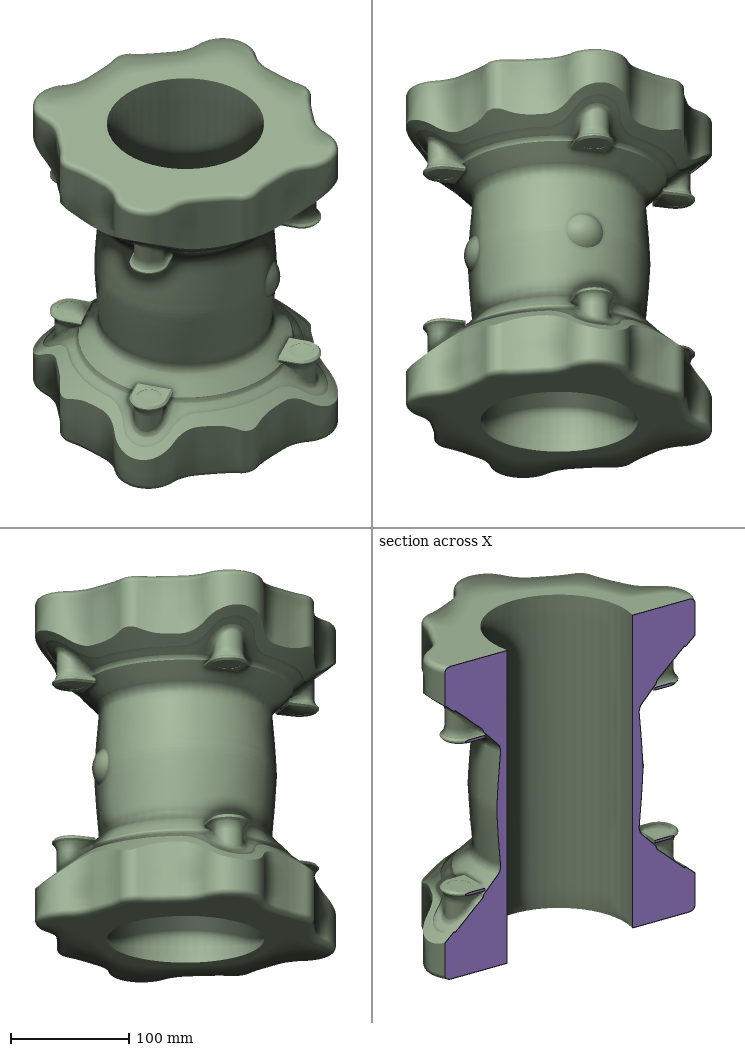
import cadquery as cq
import math

height = 289.0
mid_height = height / 2
bore_radius = 66.5

tip_reach = 133.8
tip_radius = 29.0
tip_center = tip_reach - tip_radius
corner_radius = 16.8
corner_center = 101.0
corner_angle = math.radians(45)
flat_distance = 109.5
flat_angle = math.radians(25.5)
tip_valley_radius = 34.7
corner_valley_radius = 89.5
flange_edge_fillet = 5.2

rim_height = 31.8
envelope_radius = tip_reach + 3
back_angle = math.radians(40.5)
core_radius = 90.5
core_top = 69.6

neck_cone_end = (76.0, 84.5)
neck_arc_mid = (74.0, 88.0)
barrel_start = (73.5, 92.0)
band_radius = 77.2
band_half_height = 1.7
barrel_mid = (75.7, 118.5)

boss_center = 103.0
boss_diameter = 25.0
boss_radius = boss_diameter / 2
neck_height = 64.7
lip_radius = 16.5
lip_height = 71.7
boss_top = 76.3
lip_bevel = 1.7
lip_neck_radius = lip_radius - lip_bevel
flare_mid = (13.3, 68.8)
lip_inner_reach = 87.3
boss_foot = 34.7
spotface_radius = 10.5
spotface_depth = 0.3

recess_circle = 100.3
recess_tip_radius = 22.3
recess_join_radius = 34.7
floor_drop = 1.7
floor_fillet = 5.2
tolerance = 0.05

dome_half_height = 14.5
dome_reach = 83.0


def polar(distance, angle):
    """Point at a distance and angle from the part axis."""
    return (distance * math.cos(angle), distance * math.sin(angle))


def point_between(start, end, distance):
    """Point at a given distance from start toward end."""
    share = distance / math.dist(start, end)
    return (start[0] + share * (end[0] - start[0]), start[1] + share * (end[1] - start[1]))


def point_on_flat(outward, along):
    """Point in the axes of one flat: outward along its normal, then along it toward the corner."""
    c, s = math.cos(flat_angle), math.sin(flat_angle)
    return (outward * c - along * s, outward * s + along * c)


def valley(lobe_center, lobe_angle, lobe_radius, valley_radius, side):
    """Ends and middle of the hollow arc tangent to a lobe and to the flat, lobe end first."""
    lobe = polar(lobe_center, lobe_angle)
    lobe_out, lobe_along = polar(lobe_center, lobe_angle - flat_angle)
    out = flat_distance + valley_radius
    along = lobe_along - side * math.sqrt((lobe_radius + valley_radius) ** 2 - (out - lobe_out) ** 2)
    center = point_on_flat(out, along)
    lobe_end = point_between(lobe, center, lobe_radius)
    flat_end = point_on_flat(flat_distance, along)
    chord_mid = ((lobe_end[0] + flat_end[0]) / 2, (lobe_end[1] + flat_end[1]) / 2)
    return lobe_end, point_between(center, chord_mid, valley_radius), flat_end


def turned(point, quarter):
    """Point turned about the part axis by a number of quarter turns."""
    angle = quarter * math.pi / 2
    c, s = math.cos(angle), math.sin(angle)
    return (point[0] * c - point[1] * s, point[0] * s + point[1] * c)


def mirrored(point):
    """Point mirrored across the diagonal."""
    return (point[1], point[0])


def flange_outline():
    """Closed outline of tips, hollows, flats and corners, one quarter at a time."""
    tip_end, tip_hollow, flat_start = valley(tip_center, 0, tip_radius, tip_valley_radius, -1)
    corner_end, corner_hollow, flat_end = valley(
        corner_center, corner_angle, corner_radius, corner_valley_radius, 1
    )
    corner_tip = polar(corner_center + corner_radius, corner_angle)
    outline = cq.Workplane("XY").moveTo(tip_end[0], -tip_end[1])
    for quarter in range(4):
        outline = (
            outline.threePointArc(turned((tip_reach, 0), quarter), turned(tip_end, quarter))
            .threePointArc(turned(tip_hollow, quarter), turned(flat_start, quarter))
            .lineTo(*turned(flat_end, quarter))
            .threePointArc(turned(corner_hollow, quarter), turned(corner_end, quarter))
            .threePointArc(turned(corner_tip, quarter), turned(mirrored(corner_end), quarter))
            .threePointArc(turned(mirrored(corner_hollow), quarter), turned(mirrored(flat_end), quarter))
            .lineTo(*turned(mirrored(flat_start), quarter))
            .threePointArc(turned(mirrored(tip_hollow), quarter), turned(mirrored(tip_end), quarter))
        )
    return outline.close()


def back_height(radius):
    """Height of the sloped flange back at a given radius."""
    return rim_height + (tip_reach - radius) * math.tan(back_angle)


def under_back(drop):
    """Solid cone below the sloped flange back, lowered by a drop."""
    return (
        cq.Workplane("XZ")
        .lineTo(envelope_radius, 0)
        .lineTo(envelope_radius, back_height(envelope_radius) - drop)
        .lineTo(core_radius, back_height(core_radius) - drop)
        .lineTo(0, back_height(core_radius) - drop)
        .close()
        .revolve(360, (0, 0), (0, 1))
    )


def recess_region():
    """Column over the recess: a circle with a rounded lobe around each boss."""
    region = cq.Workplane("XY").circle(recess_circle).extrude(height)
    for quarter in range(4):
        lobe = cq.Workplane("XY").center(*turned((boss_center, 0), quarter)).circle(recess_tip_radius)
        region = region.union(lobe.extrude(height))
    return region.edges("|Z").fillet(recess_join_radius)


def flange():
    """Wavy disc with a rounded end edge, its sloped back recessed around the core and bosses."""
    disc = flange_outline().extrude(core_top).faces("<Z").edges().fillet(flange_edge_fillet)
    disc = disc.intersect(under_back(0))
    groove = recess_region().cut(under_back(floor_drop))
    return disc.cut(groove)


def half_barrel():
    """Lower core, cone, neck and bulging barrel up to the middle of the part."""
    return (
        cq.Workplane("XZ")
        .moveTo(0, rim_height)
        .lineTo(core_radius, rim_height)
        .lineTo(core_radius, core_top)
        .lineTo(*neck_cone_end)
        .threePointArc(neck_arc_mid, barrel_start)
        .threePointArc(barrel_mid, (band_radius, mid_height - band_half_height))
        .lineTo(band_radius, mid_height)
        .lineTo(0, mid_height)
        .close()
        .revolve(360, (0, 0), (0, 1))
    )


def boss_shank():
    """Straight lower part of a boss, running inward into the core."""
    return (
        cq.Workplane("XY", (0, 0, boss_foot))
        .moveTo(bore_radius, -boss_radius)
        .lineTo(boss_center, -boss_radius)
        .threePointArc((boss_center + boss_radius, 0), (boss_center, boss_radius))
        .lineTo(bore_radius, boss_radius)
        .close()
        .extrude(core_top - boss_foot)
    )


def lip_section(plane):
    """Half section of the boss end: flared neck and lip with bevelled edges."""
    return (
        plane.moveTo(0, neck_height)
        .lineTo(boss_radius, neck_height)
        .threePointArc(flare_mid, (lip_neck_radius, lip_height))
        .lineTo(lip_radius, lip_height + lip_bevel)
        .lineTo(lip_radius, boss_top - lip_bevel)
        .lineTo(lip_radius - lip_bevel, boss_top)
        .lineTo(0, boss_top)
        .close()
    )


def boss_lip():
    """U-shaped boss end: round outside, cut off straight just short of the core cone."""
    round_part = lip_section(cq.Workplane("XZ")).revolve(360, (0, 0), (0, 1))
    half_web = lip_section(cq.Workplane("YZ")).extrude(lip_inner_reach - boss_center)
    web = half_web.union(half_web.mirror("XZ"))
    spotface = cq.Workplane("XY", (0, 0, boss_top)).circle(spotface_radius).extrude(-spotface_depth)
    return round_part.union(web).cut(spotface).translate((boss_center, 0, 0))


def is_floor_corner(edge):
    """True for inner corners of the recess: along the core, around a boss shank, or between both."""
    middle = edge.positionAt(0.5)
    near = min(abs(middle.x), abs(middle.y))
    far = max(abs(middle.x), abs(middle.y))
    gaps = [
        math.hypot(far, near) - core_radius,
        math.hypot(far - boss_center, near) - boss_radius,
        near - boss_radius,
    ]
    return boss_foot < middle.z < core_top - tolerance and min(map(abs, gaps)) < tolerance


def on_each_tip(body, feature):
    """Body joined with one copy of the feature at each flange tip."""
    for quarter in range(4):
        body = body.union(feature.rotate((0, 0, 0), (0, 0, 1), 90 * quarter))
    return body


def half_part():
    """Lower half: flange, barrel half and bosses, with the recess floor blended into the walls."""
    body = on_each_tip(flange().union(half_barrel()), boss_shank())
    corners = [edge for edge in body.edges().vals() if is_floor_corner(edge)]
    body = body.newObject(corners).fillet(floor_fillet)
    return on_each_tip(body, boss_lip())


def dome():
    """Sphere that bulges as a cap from the +X side of the barrel, halfway up."""
    rise = dome_reach - band_radius
    radius = (dome_half_height**2 + rise**2) / (2 * rise)
    return cq.Workplane("XY").sphere(radius).translate((dome_reach - radius, 0, mid_height))


half = half_part()
part = half.union(half.mirror("XY", (0, 0, mid_height)))
part = part.union(dome()).union(dome().rotate((0, 0, 0), (0, 0, 1), 90))
bore = cq.Workplane("XY").circle(bore_radius).extrude(height)
result = part.cut(bore)